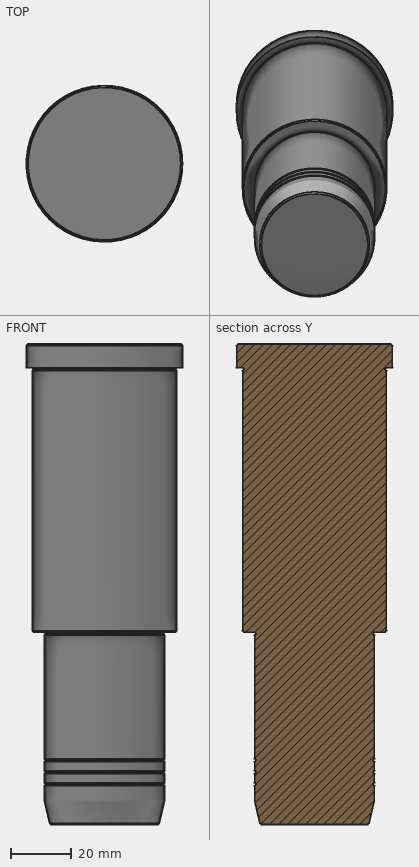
import cadquery as cq

total_length = 160.0
collar_diameter = 52.0
collar_height = 8.0
body_diameter = 48.0
body_bottom = 64.0
shank_diameter = 40.0
nose_height = 8.0
nose_tip_diameter = 36.3
collar_chamfer = 0.6
edge_chamfer = 0.5

groove_depth = 0.5
groove_width = 1.0
groove_count = 3
groove_pitch = 4.0
lowest_groove_bottom = 13.0

collar_bottom = total_length - collar_height


def cylinder(diameter, bottom, top):
    return cq.Workplane("XY").workplane(offset=bottom).circle(diameter / 2).extrude(top - bottom)


def cut_groove(part, diameter, bottom):
    """Cut a V-shaped ring groove into a cylinder of the given diameter."""
    radius = diameter / 2
    section = [
        (radius, bottom),
        (radius - groove_depth, bottom + groove_width / 2),
        (radius, bottom + groove_width),
    ]
    ring = cq.Workplane("XZ").polyline(section).close().revolve(360, (0, 0), (0, 1))
    return part.cut(ring)


collar = cylinder(collar_diameter, collar_bottom, total_length)
collar = collar.faces(">Z").edges().chamfer(collar_chamfer)

body = cylinder(body_diameter, body_bottom, collar_bottom)
body = body.faces("<Z").edges().chamfer(edge_chamfer)
body = cut_groove(body, body_diameter, collar_bottom - groove_width)

shank = cylinder(shank_diameter, nose_height, body_bottom)
shank = cut_groove(shank, shank_diameter, body_bottom - groove_width)
for index in range(groove_count):
    shank = cut_groove(shank, shank_diameter, lowest_groove_bottom + index * groove_pitch)

nose = (
    cq.Workplane("XY")
    .workplane(offset=nose_height)
    .circle(shank_diameter / 2)
    .workplane(offset=-nose_height)
    .circle(nose_tip_diameter / 2)
    .loft(ruled=True)
)
nose = nose.faces("<Z").edges().chamfer(edge_chamfer)

result = collar.union(body).union(shank).union(nose)